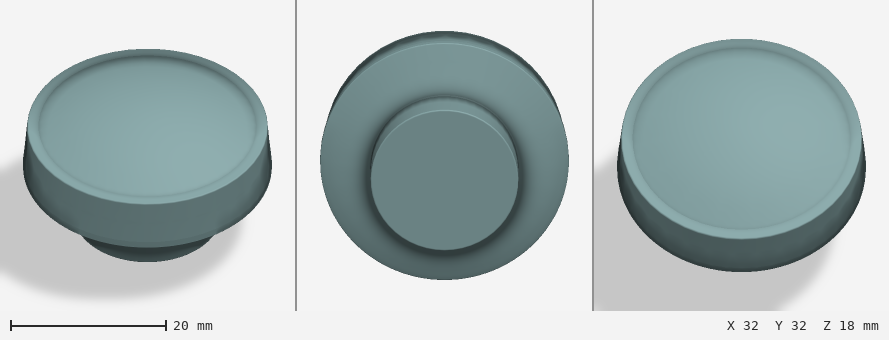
import cadquery as cq
import math

head_radius = 16.0
stem_radius = 9.5
dome_radius = 14.0
stem_top = 5.95
head_bottom = 8.0
band_top = 9.0
rim_height = 15.0
total_height = 18.0
wall_taper = 5.0
edge_radius = 0.2

rim_radius = head_radius - (rim_height - band_top) * math.tan(math.radians(wall_taper))

dome_rise = total_height - rim_height
sphere_radius = (dome_radius**2 + dome_rise**2) / (2 * dome_rise)

dome_mid_x = dome_radius / 2
dome_mid_z = total_height - sphere_radius + math.sqrt(sphere_radius**2 - dome_mid_x**2)

knob = (
    cq.Workplane("XZ")
    .lineTo(stem_radius, 0)
    .lineTo(stem_radius, stem_top)
    .lineTo(head_radius, head_bottom)
    .lineTo(head_radius, band_top)
    .lineTo(rim_radius, rim_height)
    .lineTo(dome_radius, rim_height)
    .threePointArc((dome_mid_x, dome_mid_z), (0, total_height))
    .close()
    .revolve(360, (0, 0, 0), (0, 1, 0))
)


def round_circle(body, radius, height):
    """Round the circular edge of the given radius centred on the axis at the given height."""
    margin = edge_radius / 2
    reach = radius + margin
    height_band = cq.selectors.BoxSelector(
        (-reach, -reach, height - margin),
        (reach, reach, height + margin),
        boundingbox=True,
    )
    circles = body.edges("%CIRCLE").edges(height_band)
    return circles.edges(cq.selectors.RadiusNthSelector(-1)).fillet(edge_radius)


knob = round_circle(knob, stem_radius, 0)
knob = round_circle(knob, stem_radius, stem_top)
knob = round_circle(knob, head_radius, head_bottom)
knob = round_circle(knob, rim_radius, rim_height)

result = knob